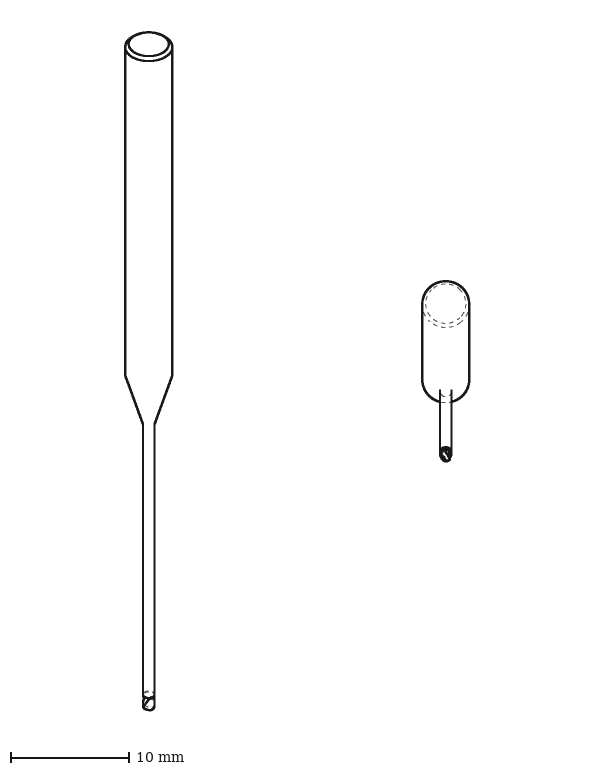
import cadquery as cq
import math

overall_length = 70.0

shank_diameter = 4.0
shank_chamfer = 0.3

neck_diameter = 1.0
neck_end_height = 30.0
cone_half_angle = 16.0

cutter_diameter = 1.0
cutter_length = 1.5
collar_length = 0.1
corner_radius = 0.35
web_thickness = 0.4
helix_angle = 30.0

shank_radius = shank_diameter / 2
neck_radius = neck_diameter / 2
cutter_radius = cutter_diameter / 2
cone_length = (shank_radius - neck_radius) / math.tan(math.radians(cone_half_angle))
cone_top_height = neck_end_height + cone_length
helix_lead = math.pi * cutter_diameter / math.tan(math.radians(helix_angle))
flute_length = cutter_length - collar_length
helix_twist = 360 * flute_length / helix_lead


def make_holder():
    """Shank, cone and neck, turned about the Z axis."""
    return (
        cq.Workplane("XZ")
        .moveTo(0, cutter_length)
        .lineTo(neck_radius, cutter_length)
        .lineTo(neck_radius, neck_end_height)
        .lineTo(shank_radius, cone_top_height)
        .lineTo(shank_radius, overall_length - shank_chamfer)
        .lineTo(shank_radius - shank_chamfer, overall_length)
        .lineTo(0, overall_length)
        .close()
        .revolve(360, (0, 0), (0, 1))
    )


def make_fluted_envelope():
    """Round bar with a rounded lower edge, standing on Z = 0, that bounds the cutting edges."""
    return (
        cq.Workplane("XY")
        .circle(cutter_radius)
        .extrude(flute_length)
        .faces("<Z")
        .edges()
        .fillet(corner_radius)
    )


def make_cutter():
    """Two-flute head: a flat web twisted along Z, wide along X at the tip, below a plain collar."""
    web = (
        cq.Workplane("XY")
        .rect(2 * cutter_diameter, web_thickness)
        .twistExtrude(flute_length, helix_twist)
    )
    collar = (
        cq.Workplane("XY")
        .workplane(offset=flute_length)
        .circle(cutter_radius)
        .extrude(collar_length)
    )
    return make_fluted_envelope().intersect(web).union(collar)


holder = make_holder()
cutter = make_cutter()
result = cq.Compound.makeCompound([holder.val(), *cutter.solids().vals()])